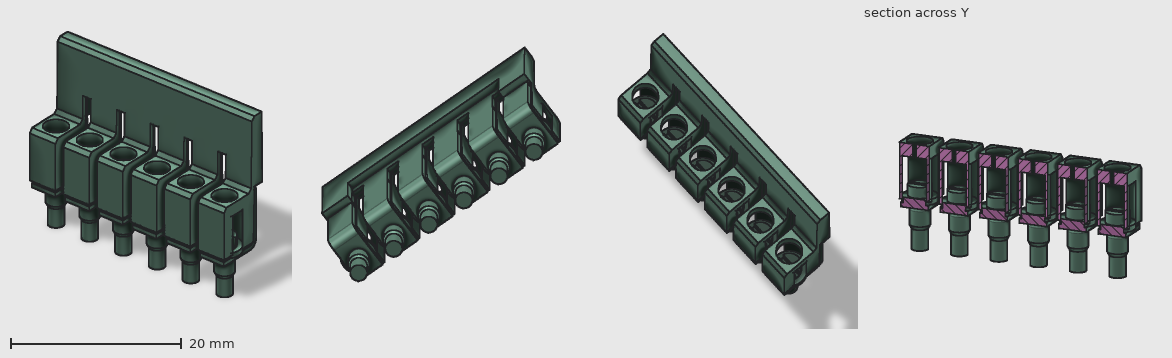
import cadquery as cq


length = 29.8
pole_count = 6
flange_diameter = 4.32
pitch = (length - flange_diameter) / (pole_count - 1)
screw_y = 2.5
pole_x = [(i - (pole_count - 1) / 2) * pitch for i in range(pole_count)]

tooth_width = 3.9
housing_width = (pole_count - 1) * pitch + tooth_width
gap_width = pitch - tooth_width
housing_top = 23.35
plate_bottom = 13.8
plate_front_top = 5.15
plate_front_foot = 5.07
plate_back_top = 7.03
plate_back_foot = 7.12
tooth_top = 13.3
tooth_bottom = 6.32
tooth_back_bottom = 5.5
gap_top = 16.93
edge_chamfer = 0.5
nose_chamfer_depth = 0.45
nose_chamfer_height = 0.57

bore_top = 11.62
access_diameter = 3.1

strip_thickness = 0.6
strip_front = 5.6
strip_back = strip_front + strip_thickness
strip_floor = 5.33
foot_top = strip_floor + strip_thickness
leg_width = 3.58
leg_shoulder = 13.23
neck_width = 3.45
foot_tip = 0.18
bend_inner_radius = 0.6
bend_outer_radius = bend_inner_radius + strip_thickness
bar_height = 1.5
bar_top = gap_top + bar_height

recess_width = (pole_count - 1) * pitch - leg_width

flange_top = 6.62
head_diameter = 2.92
head_top = 7.95
driver_slot_width = 0.6
driver_slot_bottom = 6.8
neck_diameter = 2.38
shank_diameter = 2.5
shank_top = 4.95
shank_bottom = 3.05
tip_diameter = 2.0
tip_top = 2.55


def box(x_size, x_center, y_range, z_range):
    """Block centred on x_center that fills the given Y and Z ranges."""
    y0, y1 = y_range
    z0, z1 = z_range
    return cq.Workplane("XY").box(x_size, y1 - y0, z1 - z0, centered=(True, False, False)).translate(
        (x_center, y0, z0)
    )


def cylinder(diameter, x, z0, z1):
    """Upright cylinder on a screw axis."""
    return cq.Workplane("XY", origin=(x, screw_y, z0)).circle(diameter / 2).extrude(z1 - z0)


def extrude_along_x(outline, width, x_center):
    """Extrude a YZ outline to the given width about x_center."""
    return outline.extrude(width / 2, both=True).translate((x_center, 0, 0))


def make_strip():
    """Bar, necks and bent legs in one piece."""
    bar_width = (pole_count - 1) * pitch + neck_width
    strip = box(bar_width, 0, (strip_front, strip_back), (gap_top, bar_top))
    for x in pole_x:
        neck = box(neck_width, x, (strip_front, strip_back), (leg_shoulder, gap_top))
        leg_outline = (
            cq.Workplane("YZ")
            .moveTo(strip_back, leg_shoulder)
            .lineTo(strip_back, strip_floor + bend_outer_radius)
            .radiusArc((strip_back - bend_outer_radius, strip_floor), bend_outer_radius)
            .lineTo(foot_tip, strip_floor)
            .lineTo(foot_tip, foot_top)
            .lineTo(strip_front - bend_inner_radius, foot_top)
            .radiusArc((strip_front, foot_top + bend_inner_radius), -bend_inner_radius)
            .lineTo(strip_front, leg_shoulder)
            .close()
        )
        strip = strip.union(neck).union(extrude_along_x(leg_outline, leg_width, x))
    return strip


def make_screw(x):
    """Slotted head and flange above the foot, stepped pin below it."""
    pin = (
        cq.Workplane("XZ")
        .lineTo(tip_diameter / 2, 0)
        .lineTo(tip_diameter / 2, tip_top)
        .lineTo(shank_diameter / 2, shank_bottom)
        .lineTo(shank_diameter / 2, shank_top)
        .lineTo(neck_diameter / 2, strip_floor)
        .lineTo(neck_diameter / 2, foot_top)
        .lineTo(0, foot_top)
        .close()
        .revolve(360, (0, 0, 0), (0, 1, 0))
        .translate((x, screw_y, 0))
    )
    flange = cylinder(flange_diameter, x, foot_top, flange_top)
    head = cylinder(head_diameter, x, flange_top, head_top)
    slot_sides = (screw_y - driver_slot_width / 2, screw_y + driver_slot_width / 2)
    driver_slot = box(head_diameter, x, slot_sides, (driver_slot_bottom, head_top))
    return pin.union(flange).union(head.cut(driver_slot))


def make_housing_blank():
    """Plate and tooth profile over the full width."""
    profile = (
        cq.Workplane("YZ")
        .moveTo(0, tooth_bottom)
        .lineTo(0, tooth_top - nose_chamfer_height)
        .lineTo(nose_chamfer_depth, tooth_top)
        .lineTo(plate_front_foot - edge_chamfer, tooth_top)
        .lineTo(plate_front_foot, plate_bottom)
        .lineTo(plate_front_top, housing_top - edge_chamfer)
        .lineTo(plate_front_top + edge_chamfer, housing_top)
        .lineTo(plate_back_top, housing_top)
        .lineTo(plate_back_foot, plate_bottom)
        .lineTo(strip_front, plate_bottom)
        .lineTo(tooth_back_bottom, tooth_bottom)
        .close()
    )
    return extrude_along_x(profile, housing_width, 0)


def cut_rear_recess(housing):
    """Open the rear of the plate behind the inner teeth, as deep as the front of the strip."""
    recess = box(recess_width, 0, (strip_front, plate_back_foot), (plate_bottom, bar_top))
    return housing.cut(recess)


def cut_gaps(housing):
    """Open the gaps that separate neighbouring teeth."""
    for x in pole_x[:-1]:
        gap = box(gap_width, x + pitch / 2, (0, plate_back_foot), (tooth_bottom, gap_top))
        housing = housing.cut(gap)
    return housing


def cut_screw_bores(housing):
    """Screwdriver hole from above and a bore from below, wide enough to break through the tooth sides."""
    for x in pole_x:
        access_hole = cylinder(access_diameter, x, bore_top, tooth_top)
        flange_bore = cylinder(flange_diameter, x, tooth_bottom, bore_top)
        housing = housing.cut(access_hole).cut(flange_bore)
    return housing


jumper = make_strip()
for x in pole_x:
    jumper = jumper.union(make_screw(x))

housing = cut_screw_bores(cut_gaps(cut_rear_recess(make_housing_blank()))).cut(jumper)

result = cq.Compound.makeCompound([housing.val(), jumper.val()])